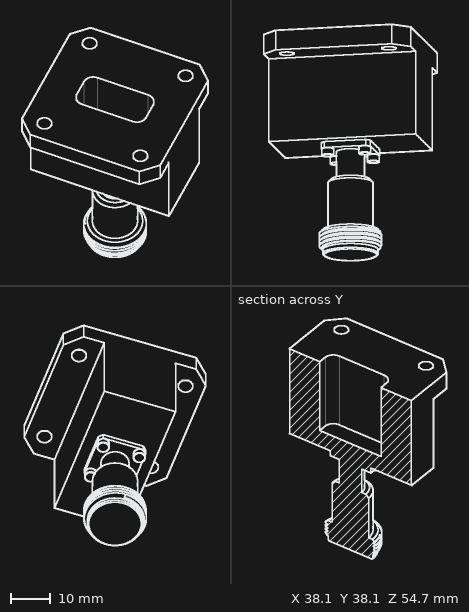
import cadquery as cq
import math

flange_size = 38.1
flange_thickness = 5.08
flange_corner_chamfer = 4.0
bolt_hole_diameter = 3.66
bolt_spacing_x = 26.42
bolt_spacing_y = 28.5

guide_width = 19.05
guide_height = guide_width / 2
guide_corner_radius = 2.54
body_width_y = 19.05
body_bottom_z = -26.5
guide_floor_thickness = flange_thickness

plate_size = 12.7
plate_thickness = 1.52
plate_corner_chamfer = 1.0
screw_head_diameter = 3.0
screw_head_height = 1.78
screw_head_chamfer = 0.1
screw_spacing = 9.66

overall_height = 54.71
neck_diameter = 7.11
barrel_diameter = 11.43
barrel_chamfer = 0.9
end_ring_diameter = 13.97
end_ring_chamfer = 0.35
barrel_length = 13.15
coupling_length = 6.4
end_ring_length = 1.35

thread_major_diameter = 15.875
thread_pitch = 25.4 / 24
thread_flat_width = thread_pitch / 8
thread_flank_angle = 30
thread_depth = (thread_pitch / 2 - thread_flat_width) / math.tan(math.radians(thread_flank_angle))
thread_start_offset = 0.37
thread_runout_offset = 0.9
thread_end_chamfer = (thread_major_diameter - end_ring_diameter) / 2
thread_cut_clearance = 0.1

plate_bottom_z = body_bottom_z - plate_thickness
connector_bottom_z = -overall_height
coupling_top_z = connector_bottom_z + coupling_length
end_ring_top_z = connector_bottom_z + end_ring_length
barrel_top_z = coupling_top_z + barrel_length


def make_waveguide():
    """Flange and rectangular body with the blind waveguide opening."""
    flange = (
        cq.Workplane("XY")
        .rect(flange_size, flange_size)
        .extrude(-flange_thickness)
        .edges("|Z")
        .chamfer(flange_corner_chamfer)
    )
    bolt_holes = (
        cq.Workplane("XY")
        .rect(bolt_spacing_x, bolt_spacing_y, forConstruction=True)
        .vertices()
        .circle(bolt_hole_diameter / 2)
        .extrude(-flange_thickness)
    )
    body = (
        cq.Workplane("XY")
        .workplane(offset=-flange_thickness)
        .rect(flange_size, body_width_y)
        .extrude(body_bottom_z + flange_thickness)
    )
    opening = (
        cq.Workplane("XY")
        .rect(guide_width, guide_height)
        .extrude(body_bottom_z + guide_floor_thickness)
        .edges("|Z")
        .fillet(guide_corner_radius)
    )
    return flange.cut(bolt_holes).union(body).cut(opening)


def make_mounting_plate():
    """Square plate under the body, held by four cylindrical screw heads."""
    plate = (
        cq.Workplane("XY")
        .workplane(offset=body_bottom_z)
        .rect(plate_size, plate_size)
        .extrude(-plate_thickness)
        .edges("|Z")
        .chamfer(plate_corner_chamfer)
    )
    screw_heads = (
        cq.Workplane("XY")
        .workplane(offset=plate_bottom_z)
        .rect(screw_spacing, screw_spacing, forConstruction=True)
        .vertices()
        .circle(screw_head_diameter / 2)
        .extrude(-screw_head_height)
        .edges("%CIRCLE")
        .chamfer(screw_head_chamfer)
    )
    return plate.union(screw_heads)


def make_coupling():
    """Coupling blank with conical ends and a right-hand helical thread groove."""
    major_radius = thread_major_diameter / 2
    end_radius = end_ring_diameter / 2
    blank = (
        cq.Workplane("YZ")
        .moveTo(0, coupling_top_z)
        .lineTo(end_radius, coupling_top_z)
        .lineTo(major_radius, coupling_top_z - thread_end_chamfer)
        .lineTo(major_radius, end_ring_top_z + thread_end_chamfer)
        .lineTo(end_radius, end_ring_top_z)
        .lineTo(0, end_ring_top_z)
        .close()
        .revolve(360, (0, 0), (0, 1))
    )
    root_radius = major_radius - thread_depth
    flank_slope = math.tan(math.radians(thread_flank_angle))
    outer_radius = major_radius + thread_cut_clearance
    root_half_width = thread_flat_width / 2
    outer_half_width = root_half_width + (outer_radius - root_radius) * flank_slope
    thread_top_z = coupling_top_z - thread_runout_offset
    thread_bottom_z = end_ring_top_z + thread_start_offset
    helix = cq.Wire.makeHelix(
        thread_pitch,
        thread_top_z - thread_bottom_z,
        root_radius,
        center=cq.Vector(0, 0, thread_bottom_z),
    )
    groove = (
        cq.Workplane("XZ")
        .moveTo(root_radius, thread_bottom_z - root_half_width)
        .lineTo(root_radius, thread_bottom_z + root_half_width)
        .lineTo(outer_radius, thread_bottom_z + outer_half_width)
        .lineTo(outer_radius, thread_bottom_z - outer_half_width)
        .close()
        .sweep(cq.Workplane(helix), isFrenet=True)
    )
    return blank.cut(groove)


def make_connector():
    """Neck, barrel, threaded coupling and end ring on the Z axis."""
    neck = (
        cq.Workplane("XY")
        .workplane(offset=barrel_top_z)
        .circle(neck_diameter / 2)
        .extrude(plate_bottom_z - barrel_top_z)
    )
    barrel = (
        cq.Workplane("XY")
        .workplane(offset=coupling_top_z)
        .circle(barrel_diameter / 2)
        .extrude(barrel_length)
        .faces(">Z")
        .chamfer(barrel_chamfer)
    )
    end_ring = (
        cq.Workplane("XY")
        .workplane(offset=connector_bottom_z)
        .circle(end_ring_diameter / 2)
        .extrude(end_ring_length)
        .faces("<Z")
        .chamfer(end_ring_chamfer)
    )
    return neck.union(barrel).union(make_coupling()).union(end_ring)


result = make_waveguide().union(make_mounting_plate()).union(make_connector())